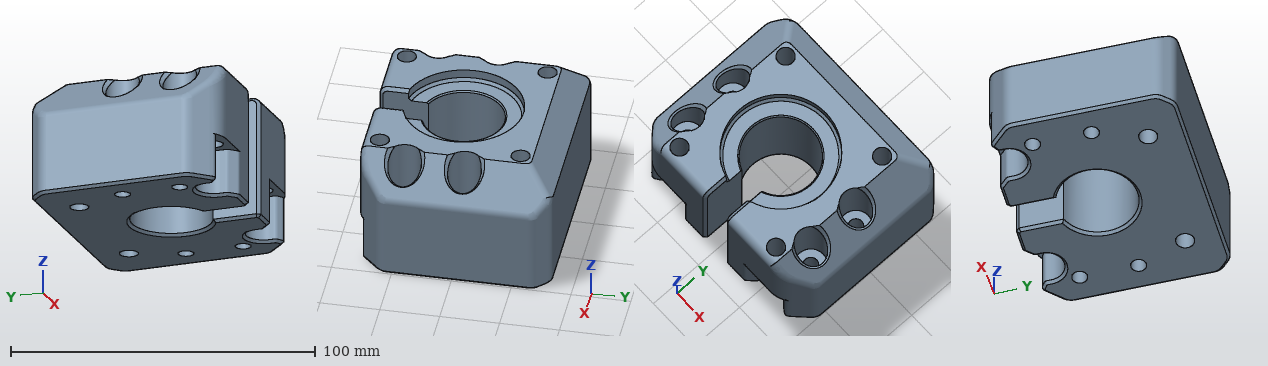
import cadquery as cq
import math

length = 80.0
width = 65.2
height = 41.8
front_y = -29.1
back_y = front_y + width
side_x = length / 2

front_corner = 8.8
back_corner = 5.0
corner_radius = 5.0
front_blend_radius = 10.2

side_slope_run = 12.5
left_slope_drop = 14.1
right_slope_drop = side_slope_run
back_slope_run = 8.4
back_slope_drop = back_slope_run
top_radius = 3.0
bottom_chamfer = 1.0

bore_diameter = 27.4
bore_chamfer = 0.5
recess_diameter = 40.0
recess_depth = 4.0
recess_chamfer = 1.0
slot_width = 9.8
slot_chamfer = 1.1

mount_pitch = 47.0
mount_diameter = 6.2
notch_width = 12.0
notch_height = 16.0
notch_chamfer = 3.0
notch_radius = 1.5

side_hole_x = 30.0
side_hole_y = (6.0, -14.0)
side_hole_diameter = 5.2
counterbore_diameter = 11.0
counterbore_floor = 20.0
counterbore_chamfer = 1.1

margin = 0.8


def nearest(x, y, z):
    """Selector for the edge or face whose centre is closest to a point."""
    return cq.selectors.NearestToPointSelector((x, y, z))


def make_block():
    """Block with cut-off, rounded corners in plan."""
    outline = [
        (-side_x, front_y + front_corner),
        (-side_x + front_corner, front_y),
        (side_x - front_corner, front_y),
        (side_x, front_y + front_corner),
        (side_x, back_y - back_corner),
        (side_x - back_corner, back_y),
        (-side_x + back_corner, back_y),
        (-side_x, back_y - back_corner),
    ]
    block = cq.Workplane("XY").polyline(outline).close().extrude(height)
    block = block.edges("|Z").edges("<Y").fillet(front_blend_radius)
    for x, y in outline:
        if y != front_y:
            block = block.edges(nearest(x, y, height / 2)).fillet(corner_radius)
    return block


def slope_wedge(plane, wall, run, drop):
    """Wedge that takes the top edge off the wall standing at the given position."""
    outward = math.copysign(1, wall)
    overshoot = drop / run * margin
    outline = [
        (wall - outward * (run + margin), height + overshoot),
        (wall + outward * margin, height - drop - overshoot),
        (wall + outward * margin, height + overshoot),
    ]
    return cq.Workplane(plane).polyline(outline).close().extrude(length, both=True)


def add_slopes(block):
    """Slope both sides and the back, and round the borders of the side slopes."""
    side_slopes = ((-side_x, left_slope_drop), (side_x, right_slope_drop))
    block = block.cut(slope_wedge("YZ", back_y, back_slope_run, back_slope_drop))
    for wall, drop in side_slopes:
        block = block.cut(slope_wedge("XZ", wall, side_slope_run, drop))
    ridges = []
    wall_borders = []
    for wall, drop in side_slopes:
        middle_x = wall - math.copysign(side_slope_run / 2, wall)
        slope = block.faces(nearest(middle_x, 0, height - drop / 2))
        for edge in slope.edges().vals():
            ends = (edge.startPoint(), edge.endPoint())
            top_ends = [end for end in ends if end.z > height - margin]
            if not top_ends:
                wall_borders.append(edge)
            elif len(top_ends) == 1:
                borders = ridges if top_ends[0].y > 0 else wall_borders
                borders.append(edge)
    rounded_ridges = block.newObject(ridges).fillet(top_radius)
    rounded_walls = block.newObject(wall_borders).fillet(top_radius)
    return rounded_ridges.intersect(rounded_walls)


def round_front_top(block):
    """Round the top front edge."""
    profile = (
        cq.Workplane("YZ")
        .moveTo(front_y, height - top_radius)
        .radiusArc((front_y + top_radius, height), top_radius)
        .lineTo(front_y + top_radius, height + margin)
        .lineTo(front_y - margin, height + margin)
        .lineTo(front_y - margin, height - top_radius)
        .close()
    )
    return block.cut(profile.extrude(side_x, both=True))


def cut_slot(block):
    """Slot from the bore axis out through the front, with chamfered mouth edges."""
    reach = margin - front_y
    slot = cq.Workplane("XY").center(0, -reach / 2).rect(slot_width, reach).extrude(height)
    block = block.cut(slot)
    rounding_inset = top_radius * (1 - math.cos(math.radians(45)))
    mouth = []
    for x in (-slot_width / 2, slot_width / 2):
        mouth += block.edges(nearest(x, front_y, height / 2)).vals()
        mouth += block.edges(nearest(x, front_y + rounding_inset, height - rounding_inset)).vals()
        mouth += block.edges(nearest(x, front_y / 2, height)).vals()
    return block.newObject(mouth).chamfer(slot_chamfer)


def bore_cutter():
    """Revolved cutter for the bore and the stepped recess above it."""
    bore = bore_diameter / 2
    recess = recess_diameter / 2
    floor = height - recess_depth
    profile = [
        (0, -margin),
        (bore, -margin),
        (bore, floor - bore_chamfer),
        (bore + bore_chamfer, floor),
        (recess - recess_chamfer, floor),
        (recess, floor + recess_chamfer),
        (recess, height + margin),
        (0, height + margin),
    ]
    return cq.Workplane("XZ").polyline(profile).close().revolve(360, (0, 0, 0), (0, 1, 0))


def cut_notch(block, x):
    """Round-backed notch under a front mounting hole, flared where it meets the front."""
    hole_y = -mount_pitch / 2
    mouth_y = front_y - margin
    notch = (
        cq.Workplane("XY")
        .moveTo(x - notch_width / 2, mouth_y)
        .lineTo(x - notch_width / 2, hole_y)
        .threePointArc((x, hole_y + notch_width / 2), (x + notch_width / 2, hole_y))
        .lineTo(x + notch_width / 2, mouth_y)
        .close()
        .extrude(notch_height)
    )
    block = block.cut(notch)
    mouth = []
    for wall_x in (x - notch_width / 2, x + notch_width / 2):
        mouth += block.edges("|Z").edges(nearest(wall_x, front_y, notch_height / 2)).vals()
    block = block.newObject(mouth).chamfer(notch_chamfer)
    mouth_zone = cq.selectors.BoxSelector(
        (x - notch_width, mouth_y, 0),
        (x + notch_width, hole_y - margin, notch_height),
    )
    return block.edges("|Z").edges(mouth_zone).fillet(notch_radius)


def chamfer_bottom(block):
    """Chamfer the outer border of the bottom face, which runs through the slot, bore and notches."""
    border = block.faces("<Z").val().outerWire()
    return block.newObject(border.Edges()).chamfer(bottom_chamfer)


def drill_mount_holes(block):
    """Through holes on the corners of the mounting square."""
    centres = cq.Workplane("XY").rect(mount_pitch, mount_pitch, forConstruction=True).vertices()
    return block.cut(centres.circle(mount_diameter / 2).extrude(height))


def cut_side_holes(block):
    """Counterbored holes with the rims on the side slopes chamfered."""
    for x in (-side_hole_x, side_hole_x):
        for y in side_hole_y:
            hole = cq.Workplane("XY").center(x, y).circle(side_hole_diameter / 2).extrude(height)
            counterbore = (
                cq.Workplane("XY", origin=(x, y, counterbore_floor))
                .circle(counterbore_diameter / 2)
                .extrude(height - counterbore_floor)
            )
            block = block.cut(hole).cut(counterbore)
            outer_x = x + math.copysign(counterbore_diameter / 2, x)
            rim = block.edges("%ELLIPSE").edges(nearest(outer_x, y, height - side_slope_run / 2)).vals()
            block = block.newObject(rim).chamfer(counterbore_chamfer)
    return block


part = round_front_top(add_slopes(make_block()))
part = cut_slot(part).cut(bore_cutter())
for x in (-mount_pitch / 2, mount_pitch / 2):
    part = cut_notch(part, x)
part = drill_mount_holes(chamfer_bottom(part))
result = cut_side_holes(part)